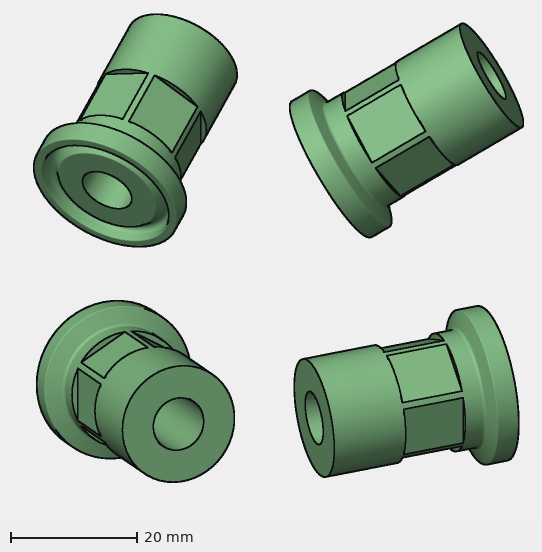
import cadquery as cq
import math

length = 30.0
flange_radius = 25.0 / 2
barrel_radius = 19.05 / 2
bore_radius = 8.55 / 2

rim_width = 3.6
back_angle = math.radians(20)
rim_rounding = 0.2
neck_fillet = 0.5

face_recess = 0.7
groove_wall_radius = 10.92
groove_floor_depth = 2.3
groove_round = 0.85
groove_slope = math.radians(55)
lip_rounding = 0.2

hex_across_flats = 17.0
hex_start = 8.0
hex_length = 10.0


def circles_at(radius, y):
    """Select the circular edges at one position along the axis, up to the given radius."""
    margin = 0.03
    reach = radius + margin
    return cq.selectors.BoxSelector(
        (-reach, y - margin, -reach),
        (reach, y + margin, reach),
        boundingbox=True,
    )


def turned_body():
    """Revolve the outer half section, drawn as (radius, Y), about the Y axis."""
    back_end = rim_width + (flange_radius - barrel_radius) * math.tan(back_angle)
    profile = (
        cq.Workplane("XY")
        .lineTo(flange_radius, 0)
        .lineTo(flange_radius, rim_width)
        .lineTo(barrel_radius, back_end)
        .lineTo(barrel_radius, length)
        .lineTo(0, length)
        .close()
    )
    body = profile.revolve(360, (0, 0, 0), (0, 1, 0))
    body = body.edges(circles_at(barrel_radius, back_end)).fillet(neck_fillet)
    for y in (0, rim_width):
        body = body.edges(circles_at(flange_radius, y)).fillet(rim_rounding)
    return body


def face_cavity():
    """Recess and groove: straight outer wall, round floor, sloping inner side."""
    centre_radius = groove_wall_radius - groove_round
    centre_depth = groove_floor_depth - groove_round
    slope_radius = centre_radius - groove_round * math.sin(groove_slope)
    slope_depth = centre_depth + groove_round * math.cos(groove_slope)
    slope_top = slope_radius - (slope_depth - face_recess) / math.tan(groove_slope)
    profile = (
        cq.Workplane("XY")
        .lineTo(groove_wall_radius, 0)
        .lineTo(groove_wall_radius, centre_depth)
        .threePointArc((centre_radius, groove_floor_depth), (slope_radius, slope_depth))
        .lineTo(slope_top, face_recess)
        .lineTo(0, face_recess)
        .close()
    )
    return profile.revolve(360, (0, 0, 0), (0, 1, 0))

def disc_along_y(radius, start, thickness):
    """Round bar along the axis, beginning at Y = start."""
    return cq.Workplane("XZ", origin=(0, start, 0)).circle(radius).extrude(-thickness)


def wrench_flats():
    """Material outside the hexagon, which has two flats facing +X and -X."""
    across_corners = hex_across_flats / math.cos(math.pi / 6)
    hexagon = (
        cq.Workplane("XZ", origin=(0, hex_start, 0))
        .transformed(rotate=(0, 0, 30))
        .polygon(6, across_corners)
        .extrude(-hex_length)
    )
    return disc_along_y(flange_radius, hex_start, hex_length).cut(hexagon)


def round_face_edges(body):
    """Round the lip of the groove and the edge of the recessed centre face."""
    body = body.edges(circles_at(groove_wall_radius, 0)).fillet(lip_rounding)
    return body.edges(circles_at(groove_wall_radius, face_recess)).fillet(lip_rounding)


result = round_face_edges(turned_body().cut(face_cavity()))
result = result.cut(wrench_flats())
result = result.cut(disc_along_y(bore_radius, 0, length))